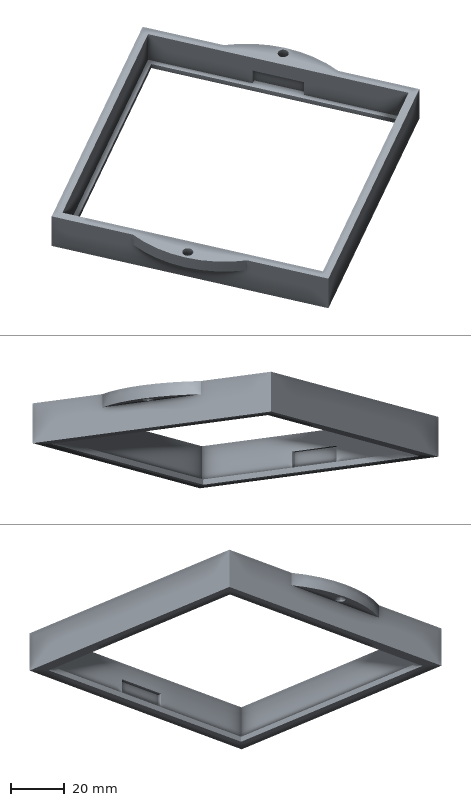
import cadquery as cq

frame_side = 108.0
frame_height = 15.0
pocket_side = 101.7
opening_side = 98.0
ledge_thickness = 2.0

overall_length = 119.4
lug_chord = 44.6
lug_thickness = 5.0
hole_diameter = 4.0
hole_offset = 56.6

recess_width = 20.0
recess_height = 6.5
recess_depth = 1.7


def square_block(side, bottom, height):
    return cq.Workplane("XY").workplane(offset=bottom).rect(side, side).extrude(height)


def make_lug(direction):
    """Circular-segment lug on the wall facing +Y (1) or -Y (-1)."""
    wall_y = direction * frame_side / 2
    root_y = direction * pocket_side / 2
    half_chord = lug_chord / 2
    return (
        cq.Workplane("XY")
        .workplane(offset=frame_height - lug_thickness)
        .moveTo(-half_chord, root_y)
        .lineTo(-half_chord, wall_y)
        .threePointArc((0, direction * overall_length / 2), (half_chord, wall_y))
        .lineTo(half_chord, root_y)
        .close()
        .extrude(lug_thickness)
    )


body = square_block(frame_side, 0, frame_height)
for direction in (1, -1):
    body = body.union(make_lug(direction))

body = body.cut(square_block(pocket_side, ledge_thickness, frame_height - ledge_thickness))
body = body.cut(square_block(opening_side, 0, frame_height))

holes = (
    cq.Workplane("XY")
    .pushPoints([(0, hole_offset), (0, -hole_offset)])
    .circle(hole_diameter / 2)
    .extrude(frame_height)
)
body = body.cut(holes)

recess_bar = (
    cq.Workplane("XY")
    .workplane(offset=ledge_thickness)
    .rect(recess_width, pocket_side + 2 * recess_depth)
    .extrude(recess_height)
)
result = body.cut(recess_bar)